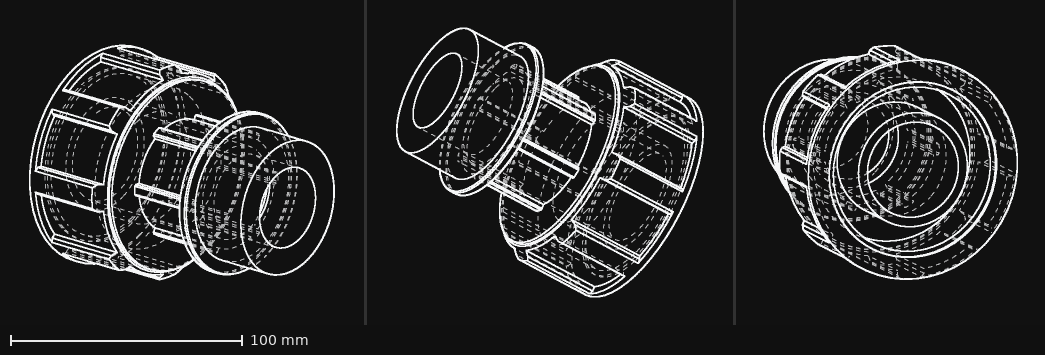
import cadquery as cq
import math

LENGTH = 107.0

NUT_DIAMETER = 96.0
NUT_RIM_LENGTH = 3.2
NUT_CONE_START = 36.5
NUT_CONE_END = 41.2
NUT_CONE_ANGLE = 45.5
NUT_COLLAR_DIAMETER = 84.5
NUT_END = 42.8

GRIP_DIAMETER = 89.2
GRIP_RIB_COUNT = 8
GRIP_RIB_WIDTH = 12.2
GRIP_RIB_TOP_WIDTH = 9.6
GRIP_RIB_EDGE_DEPTH = 1.5

CAVITY_DIAMETER = 72.0
CAVITY_DEPTH = 27.1
MOUTH_DIAMETER = 76.8
MOUTH_DEPTH = 1.4

NECK_DIAMETER = 50.0
NECK_RIB_COUNT = 6
NECK_RIB_DIAMETER = 54.9
NECK_RIB_WIDTH = 5.0
NECK_RIB_TOP_WIDTH = 3.7
NECK_RIB_EDGE_DEPTH = 0.5

FLANGE_DIAMETER = 71.6
FLANGE_START = 76.1
FLANGE_END = 80.1
FLANGE_FRONT_CHAMFER = 0.4
FLANGE_BACK_CHAMFER_LENGTH = 0.7
FLANGE_BACK_CHAMFER_HEIGHT = 0.4
SPIGOT_DIAMETER = 59.6

BORE_MOUTH_DIAMETER = 41.7
BORE_END_DIAMETER = 35.7


def cylinder(diameter, start, end):
    """Solid cylinder about the X axis."""
    return cq.Workplane("YZ", origin=(start, 0, 0)).circle(diameter / 2).extrude(end - start)


def revolve_about_x(points):
    """Revolve an (x, radius) outline about the X axis."""
    return cq.Workplane("XY").polyline(points).close().revolve(360, (0, 0, 0), (1, 0, 0))


def ribs(count, outer_diameter, width, top_width, edge_depth, start, end):
    """Straight ribs around the X axis with bevelled outer edges, the first one facing -Y."""
    outer_radius = outer_diameter / 2
    top_corner = math.sqrt(outer_radius**2 - (top_width / 2) ** 2)
    wall_top = top_corner - edge_depth
    outline = [
        (0, -width / 2),
        (-wall_top, -width / 2),
        (-top_corner, -top_width / 2),
        (-outer_radius, -top_width / 2),
        (-outer_radius, top_width / 2),
        (-top_corner, top_width / 2),
        (-wall_top, width / 2),
        (0, width / 2),
    ]
    rib = cq.Workplane("YZ", origin=(start, 0, 0)).polyline(outline).close().extrude(end - start)
    rib = rib.intersect(cylinder(outer_diameter, start, end))
    all_ribs = rib
    for index in range(1, count):
        all_ribs = all_ribs.union(rib.rotate((0, 0, 0), (1, 0, 0), index * 360 / count))
    return all_ribs


def make_nut():
    nut_radius = NUT_DIAMETER / 2
    cone_end_radius = nut_radius - (NUT_CONE_END - NUT_CONE_START) * math.tan(math.radians(NUT_CONE_ANGLE))
    envelope = revolve_about_x([
        (0, 0),
        (0, nut_radius),
        (NUT_CONE_START, nut_radius),
        (NUT_CONE_END, cone_end_radius),
        (NUT_CONE_END, NUT_COLLAR_DIAMETER / 2),
        (NUT_END, NUT_COLLAR_DIAMETER / 2),
        (NUT_END, 0),
    ])
    core = cylinder(NUT_DIAMETER, 0, NUT_RIM_LENGTH).union(cylinder(GRIP_DIAMETER, 0, NUT_END))
    grip_ribs = ribs(
        GRIP_RIB_COUNT, NUT_DIAMETER, GRIP_RIB_WIDTH, GRIP_RIB_TOP_WIDTH, GRIP_RIB_EDGE_DEPTH, 0, NUT_END
    )
    cavity = cylinder(CAVITY_DIAMETER, 0, CAVITY_DEPTH).union(cylinder(MOUTH_DIAMETER, 0, MOUTH_DEPTH))
    return core.union(grip_ribs).intersect(envelope).cut(cavity)


def make_flange():
    radius = FLANGE_DIAMETER / 2
    return revolve_about_x([
        (FLANGE_START, 0),
        (FLANGE_START, radius - FLANGE_FRONT_CHAMFER),
        (FLANGE_START + FLANGE_FRONT_CHAMFER, radius),
        (FLANGE_END - FLANGE_BACK_CHAMFER_LENGTH, radius),
        (FLANGE_END, radius - FLANGE_BACK_CHAMFER_HEIGHT),
        (FLANGE_END, 0),
    ])


def make_neck():
    neck_ribs = ribs(
        NECK_RIB_COUNT,
        NECK_RIB_DIAMETER,
        NECK_RIB_WIDTH,
        NECK_RIB_TOP_WIDTH,
        NECK_RIB_EDGE_DEPTH,
        NUT_END,
        FLANGE_START,
    )
    return cylinder(NECK_DIAMETER, 0, FLANGE_START).union(neck_ribs)


def make_bore():
    return revolve_about_x([
        (0, 0),
        (0, BORE_MOUTH_DIAMETER / 2),
        (FLANGE_START, BORE_MOUTH_DIAMETER / 2),
        (FLANGE_END, BORE_END_DIAMETER / 2),
        (LENGTH, BORE_END_DIAMETER / 2),
        (LENGTH, 0),
    ])


spigot = cylinder(SPIGOT_DIAMETER, FLANGE_END, LENGTH)
result = make_nut().union(make_neck()).union(make_flange()).union(spigot).cut(make_bore())